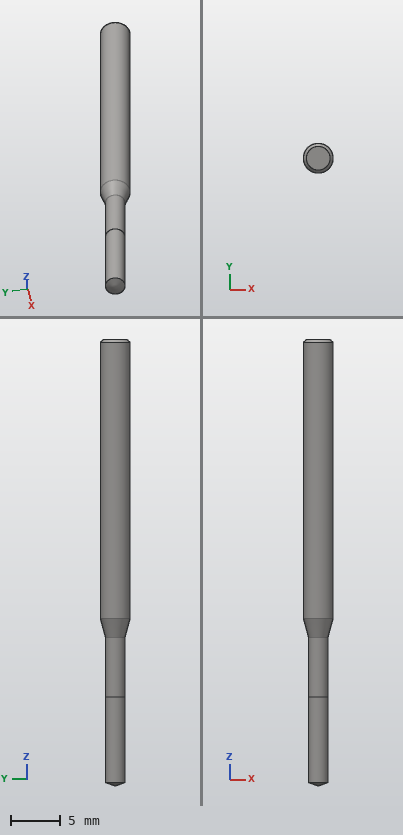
import cadquery as cq
import math

TOTAL_LENGTH = 45.0
JOINT_HEIGHT = 9.0
NECK_TOP = 15.0
TAPER_TOP = 16.88

SHANK_DIAMETER = 3.0
NECK_DIAMETER = 2.0

END_CHAMFER = 0.3
POINT_ANGLE = 140.0

SHANK_RADIUS = SHANK_DIAMETER / 2
NECK_RADIUS = NECK_DIAMETER / 2
POINT_HEIGHT = NECK_RADIUS / math.tan(math.radians(POINT_ANGLE / 2))

BOTTOM = -TOTAL_LENGTH / 2


def revolve_about_z(plane, profile):
    """Turn a closed (radial offset, height above the point) profile about Z."""
    return (
        cq.Workplane(plane, origin=(0, 0, BOTTOM))
        .polyline(profile)
        .close()
        .revolve(360, (0, 0, 0), (0, 1, 0))
    )


def make_shank():
    """Chamfered shank that tapers down to the neck."""
    profile = [
        (0, JOINT_HEIGHT),
        (-NECK_RADIUS, JOINT_HEIGHT),
        (-NECK_RADIUS, NECK_TOP),
        (-SHANK_RADIUS, TAPER_TOP),
        (-SHANK_RADIUS, TOTAL_LENGTH - END_CHAMFER),
        (-SHANK_RADIUS + END_CHAMFER, TOTAL_LENGTH),
        (0, TOTAL_LENGTH),
    ]
    return revolve_about_z("YZ", profile)


def make_cutting_tip():
    """Cylindrical cutting end with a conical point, butted against the neck."""
    profile = [
        (0, 0),
        (-NECK_RADIUS, POINT_HEIGHT),
        (-NECK_RADIUS, JOINT_HEIGHT),
        (0, JOINT_HEIGHT),
    ]
    return revolve_about_z("XZ", profile)


shank = make_shank()
cutting_tip = make_cutting_tip()

result = cq.Compound.makeCompound([shank.val(), cutting_tip.val()])